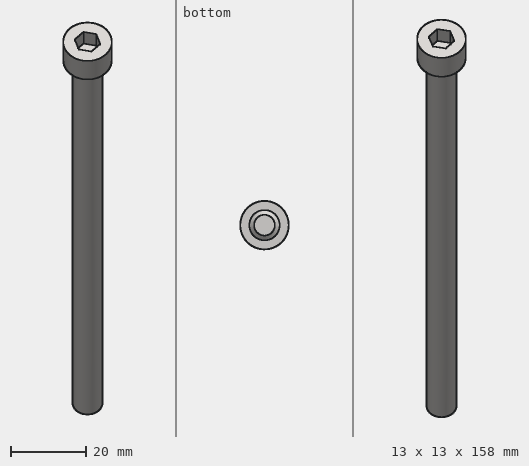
import cadquery as cq
import math

total_length = 158.0
head_diameter = 13.0
head_height = 8.0
shank_diameter = 8.0
thread_length = 28.0
tip_diameter = 5.5
tip_chamfer = 1.3
socket_across_flats = 6.0
socket_depth = 5.0
socket_across_corners = socket_across_flats / math.cos(math.pi / 6)

tip_z = -total_length / 2
top_z = total_length / 2
head_base_z = top_z - head_height
thread_top_z = tip_z + thread_length


def make_body():
    """Revolve the half profile, keeping the threaded end a separate face flush with the shank."""
    return (
        cq.Workplane("XZ")
        .moveTo(0, tip_z)
        .lineTo(tip_diameter / 2, tip_z)
        .lineTo(shank_diameter / 2, tip_z + tip_chamfer)
        .lineTo(shank_diameter / 2, thread_top_z)
        .lineTo(shank_diameter / 2, head_base_z)
        .lineTo(head_diameter / 2, head_base_z)
        .lineTo(head_diameter / 2, top_z)
        .lineTo(0, top_z)
        .close()
        .revolve(360, (0, 0, 0), (0, 1, 0), clean=False)
    )


def make_socket():
    """Hexagonal drive socket with corners on the X axis."""
    return (
        cq.Workplane("XY")
        .workplane(offset=top_z - socket_depth)
        .polygon(6, socket_across_corners)
        .extrude(socket_depth)
    )


result = make_body().cut(make_socket(), clean=False)